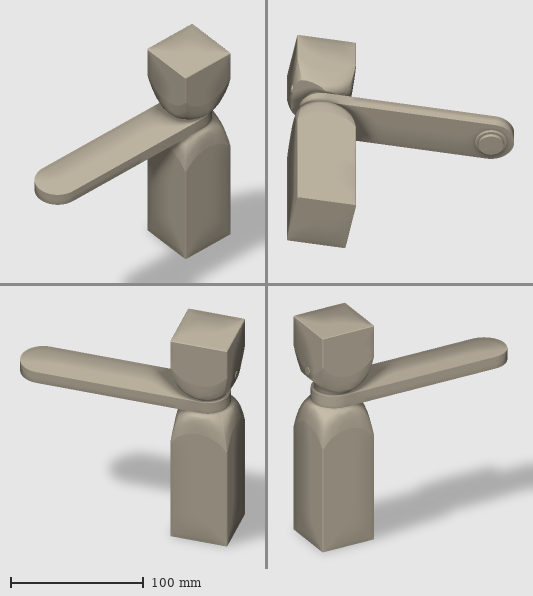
import cadquery as cq
import math

WIDTH = 45.0
HALF = WIDTH / 2
CORNER_RADIUS = 1.0
FLAT_HALF = HALF - CORNER_RADIUS

END_RADIUS = 17.5
BLEND_HEIGHT = 16.2
ARCH_RISE = 11.7
ARCH_RADIUS = (FLAT_HALF**2 + ARCH_RISE**2) / (2 * ARCH_RISE)
SIDE_SLOPE = 0.25
RIDGE_SLOPE = 0.45
SIDE_POWER = 6
RIDGE_POWER = 4
BLEND_OVERRUN = 0.1
GRID_STEPS = 16
SURFACE_TOLERANCE = 0.001
HALF_QUARTER = math.radians(45)

TOTAL_HEIGHT = 180.3
COLUMN_HEIGHT = 115.0
SPOUT_THICKNESS = 10.0
KNOB_GAP = 2.2
SPOUT_TOP = COLUMN_HEIGHT + SPOUT_THICKNESS
KNOB_BOTTOM = SPOUT_TOP + KNOB_GAP
KNOB_HEIGHT = TOTAL_HEIGHT - KNOB_BOTTOM

SPOUT_WIDTH = 2 * END_RADIUS
SPOUT_REACH = 130.0
NECK_RADIUS = 15.0
NECK_HEIGHT = 1.3

TOP_CHAMFER = 0.5
RELIEF_ANGLE = 25.0
PLUG_RADIUS = 3.2
PLUG_PROTRUSION = 0.7

FLANGE_RADIUS = 12.0
FLANGE_HEIGHT = 1.5
FLANGE_CHAMFER = 0.5
NOZZLE_RADIUS = 9.4
NOZZLE_HEIGHT = 2.7


def blend_point(along, angle):
    """Point of the blend; along is 0 on the round end's rim and 1 on the flat side's arch."""
    side_radius = HALF / math.cos(angle)
    across = HALF * math.tan(angle)
    arch_drop = ARCH_RADIUS - math.sqrt(ARCH_RADIUS**2 - across**2)
    cornering = (angle / HALF_QUARTER) ** 2
    slope = SIDE_SLOPE + (RIDGE_SLOPE - SIDE_SLOPE) * cornering
    power = SIDE_POWER + (RIDGE_POWER - SIDE_POWER) * cornering
    fall = slope * along + (1 - slope) * max(along, 0) ** power
    radius = END_RADIUS + (side_radius - END_RADIUS) * along
    return cq.Vector(
        radius * math.cos(angle),
        radius * math.sin(angle),
        -(BLEND_HEIGHT + arch_drop) * fall,
    )


def blend_cutters(end_height):
    """Four solids lying on the blend surface of a round end at the given height, facing up."""
    span = 1 + 2 * BLEND_OVERRUN
    grid = []
    for row in range(GRID_STEPS + 1):
        along = span * row / GRID_STEPS - BLEND_OVERRUN
        angles = [HALF_QUARTER * (2 * step / GRID_STEPS - 1) for step in range(GRID_STEPS + 1)]
        grid.append([blend_point(along, angle) for angle in angles])
    surface = cq.Face.makeSplineApprox(grid, tol=SURFACE_TOLERANCE)
    cutter = cq.Solid.extrudeLinear(surface, cq.Vector(0, 0, WIDTH + ARCH_RISE))
    cutter = cutter.translate(cq.Vector(0, 0, end_height))
    return [cutter.rotate(cq.Vector(0, 0, 0), cq.Vector(0, 0, 1), 90 * turn) for turn in range(4)]


def blended_post(height):
    """Square post from z = 0 with rounded corners, blending into a round end at the top."""
    post = cq.Workplane("XY").rect(WIDTH, WIDTH).extrude(height).edges("|Z").fillet(CORNER_RADIUS)
    for cutter in blend_cutters(height):
        post = post.cut(cq.Workplane(cutter))
    return post


def make_neck():
    """Short cylinder with a hemispherical dome, standing on the spout."""
    base = cq.Workplane("XY").workplane(offset=SPOUT_TOP).circle(NECK_RADIUS).extrude(NECK_HEIGHT)
    dome = cq.Workplane("XY").sphere(NECK_RADIUS, angle1=0)
    return base.union(dome.translate((0, 0, SPOUT_TOP + NECK_HEIGHT)))


def make_column():
    return blended_post(COLUMN_HEIGHT)


def make_spout():
    """Round-ended bar reaching toward -Y, with the neck over the column's axis."""
    bar = (
        cq.Workplane("XY")
        .workplane(offset=COLUMN_HEIGHT)
        .center(0, -SPOUT_REACH / 2)
        .slot2D(SPOUT_REACH + SPOUT_WIDTH, SPOUT_WIDTH, 90)
        .extrude(SPOUT_THICKNESS)
    )
    return bar.union(make_neck())


def make_knob():
    """Blended post turned upside down, relieved at the rear and seated on the neck's dome."""
    post = blended_post(KNOB_HEIGHT).faces("<Z").chamfer(TOP_CHAMFER)
    knob = post.rotate((0, 0, 0), (1, 0, 0), 180).translate((0, 0, TOTAL_HEIGHT))

    plug = (
        cq.Workplane("XZ", origin=(0, 0, KNOB_BOTTOM + BLEND_HEIGHT))
        .circle(PLUG_RADIUS)
        .extrude(-(HALF + PLUG_PROTRUSION))
    )
    relief_rise = WIDTH * math.tan(math.radians(RELIEF_ANGLE))
    relief = (
        cq.Workplane("YZ", origin=(0, 0, KNOB_BOTTOM))
        .polyline([(0, 0), (WIDTH, 0), (WIDTH, relief_rise)])
        .close()
        .extrude(HALF, both=True)
    )
    return knob.union(plug).cut(relief).cut(make_neck())


def make_aerator():
    """Chamfered flange and narrower nozzle under the spout's tip."""
    flange = (
        cq.Workplane("XY", origin=(0, -SPOUT_REACH, COLUMN_HEIGHT))
        .circle(FLANGE_RADIUS)
        .extrude(-FLANGE_HEIGHT)
        .faces("<Z")
        .chamfer(FLANGE_CHAMFER)
    )
    return flange.faces("<Z").workplane().circle(NOZZLE_RADIUS).extrude(NOZZLE_HEIGHT)


column = make_column().solids().val()
spout = make_spout().solids().val()
knob = make_knob().solids().val()
aerator = make_aerator().solids().val()

result = cq.Compound.makeCompound([column, spout, knob, aerator])